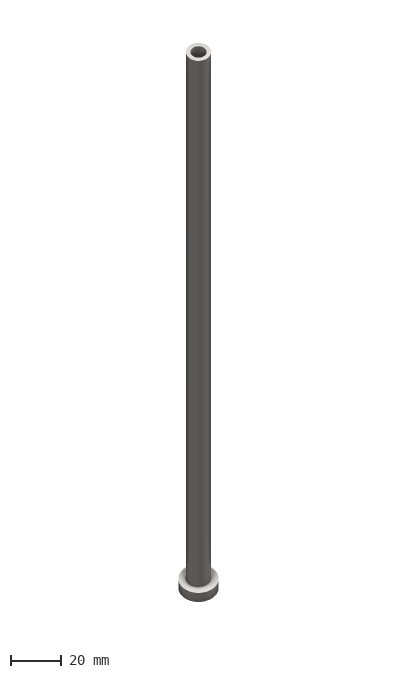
import cadquery as cq

total_length = 300.0
head_diameter = 16.0
head_height = 5.0
shank_diameter = 10.0
bore_diameter = 6.3
neck_fillet = 0.5

shank_radius = shank_diameter / 2
head_radius = head_diameter / 2
fillet_top = head_height + neck_fillet

profile = (
    cq.Workplane("XZ")
    .lineTo(head_radius, 0)
    .lineTo(head_radius, head_height)
    .lineTo(shank_radius + neck_fillet, head_height)
    .radiusArc((shank_radius, fillet_top), neck_fillet)
    .lineTo(shank_radius, total_length)
    .lineTo(0, total_length)
    .close()
)
body = profile.revolve(360, (0, 0, 0), (0, 1, 0))

bore = cq.Workplane("XY").circle(bore_diameter / 2).extrude(total_length)
result = body.cut(bore)